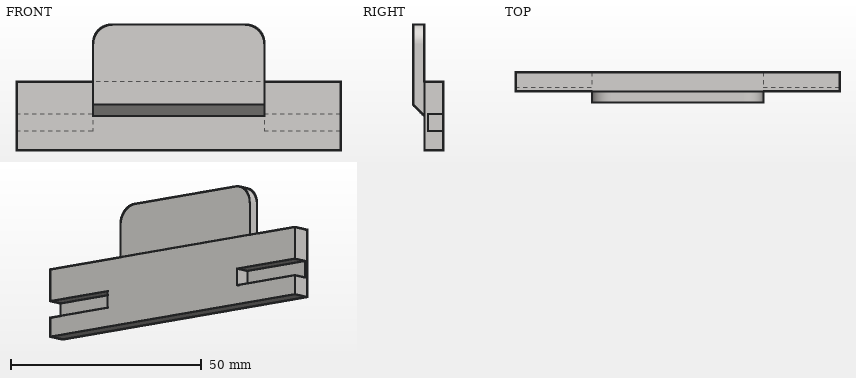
import cadquery as cq

plate_length = 85.0
plate_thickness = 5.0
plate_height = 18.0

tab_width = 45.0
tab_thickness = 3.0
tab_bottom = 9.0
tab_top = 33.0
tab_corner_radius = 5.0

slot_bottom = 5.1
slot_height = 4.4
slot_depth = 4.1
slot_length = (plate_length - tab_width) / 2


def make_plate():
    return cq.Workplane("XY").box(
        plate_length, plate_thickness, plate_height, centered=(True, False, False)
    )


def make_tab():
    """Tab with rounded top corners and a 45 degree slope under its lower edge."""
    profile = [
        (0, tab_bottom),
        (-tab_thickness, tab_bottom + tab_thickness),
        (-tab_thickness, tab_top),
        (0, tab_top),
    ]
    tab = cq.Workplane("YZ").polyline(profile).close().extrude(tab_width / 2, both=True)
    return tab.edges("|Y and >Z").fillet(tab_corner_radius)


def make_slots():
    slot_offset = (plate_length - slot_length) / 2
    slot_centers = [(-slot_offset, 0), (slot_offset, 0)]
    return (
        cq.Workplane("XY", origin=(0, plate_thickness - slot_depth / 2, slot_bottom))
        .pushPoints(slot_centers)
        .rect(slot_length, slot_depth)
        .extrude(slot_height)
    )


result = make_plate().union(make_tab()).cut(make_slots())